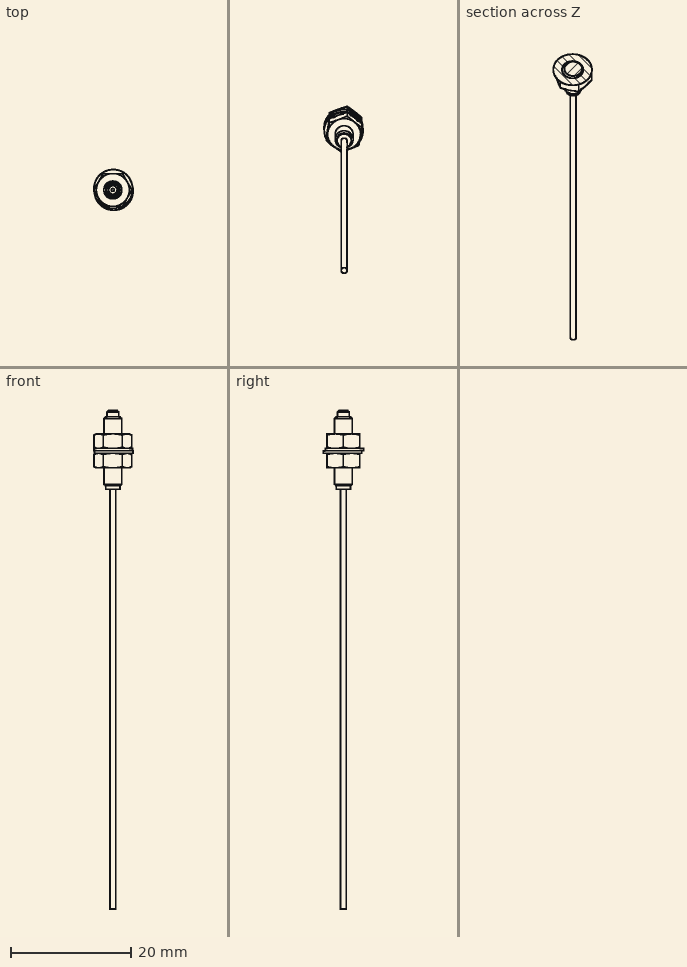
import cadquery as cq
import math

total_height = 83.0
cable_diameter = 1.0
collar_diameter = 2.4
collar_height = 0.6
collar_bottom_z = 69.9
thread_diameter = 3.0
thread_bottom_z = collar_bottom_z + collar_height
thread_top_z = 81.9
thread_chamfer = (thread_diameter - collar_diameter) / 2
tip_diameter = 2.0
tip_height = total_height - thread_top_z
tip_chamfer = 0.29
fibre_hole_diameter = 0.5
fibre_hole_depth = fibre_hole_diameter

nut_across_flats = 5.5
nut_across_corners = nut_across_flats / math.cos(math.radians(30))
nut_height = 2.4
nut_chamfer_angle = 25
nut_chamfer_width = (nut_across_corners - nut_across_flats) / 2
nut_chamfer_height = nut_chamfer_width * math.tan(math.radians(nut_chamfer_angle))

washer_diameter = 6.5
washer_hole_diameter = 3.5
washer_thickness = 0.4
lower_washer_shift = (0.14, -0.15)
upper_washer_shift = (0.07, 0.18)

lower_nut_z = 73.45
lower_washer_z = lower_nut_z + nut_height
upper_washer_z = lower_washer_z + washer_thickness
upper_nut_z = upper_washer_z + washer_thickness


def cylinder(diameter, bottom_z, height):
    return cq.Workplane("XY").workplane(offset=bottom_z).circle(diameter / 2).extrude(height)


def make_sensor_head():
    cable = cylinder(cable_diameter, 0, thread_bottom_z)
    collar = cylinder(collar_diameter, collar_bottom_z, collar_height)
    thread = cylinder(thread_diameter, thread_bottom_z, thread_top_z - thread_bottom_z)
    thread = thread.faces("<Z or >Z").chamfer(thread_chamfer)
    tip = cylinder(tip_diameter, thread_top_z, tip_height).faces(">Z").chamfer(tip_chamfer)
    fibre_hole = cylinder(fibre_hole_diameter, total_height - fibre_hole_depth, fibre_hole_depth)
    return thread.union(collar).union(cable).union(tip).cut(fibre_hole)


def make_nut(bottom_z):
    hexagon = cq.Workplane("XY").workplane(offset=bottom_z).polygon(6, nut_across_corners).extrude(nut_height)
    envelope = cylinder(nut_across_corners, bottom_z, nut_height)
    envelope = envelope.faces("<Z or >Z").chamfer(nut_chamfer_height, nut_chamfer_width)
    return hexagon.intersect(envelope).cut(cylinder(thread_diameter, bottom_z, nut_height))


def make_washer(bottom_z, shift):
    disc = cylinder(washer_diameter, bottom_z, washer_thickness)
    hole = cylinder(washer_hole_diameter, bottom_z, washer_thickness)
    return disc.cut(hole).translate((*shift, 0))


sensor_head = make_sensor_head()
nuts = [make_nut(bottom_z) for bottom_z in (lower_nut_z, upper_nut_z)]
washer_places = [(lower_washer_z, lower_washer_shift), (upper_washer_z, upper_washer_shift)]
washers = [make_washer(bottom_z, shift) for bottom_z, shift in washer_places]

result = cq.Compound.makeCompound(
    [
        sensor_head.val(),
        *[nut.val() for nut in nuts],
        *[washer.val() for washer in washers],
    ]
)